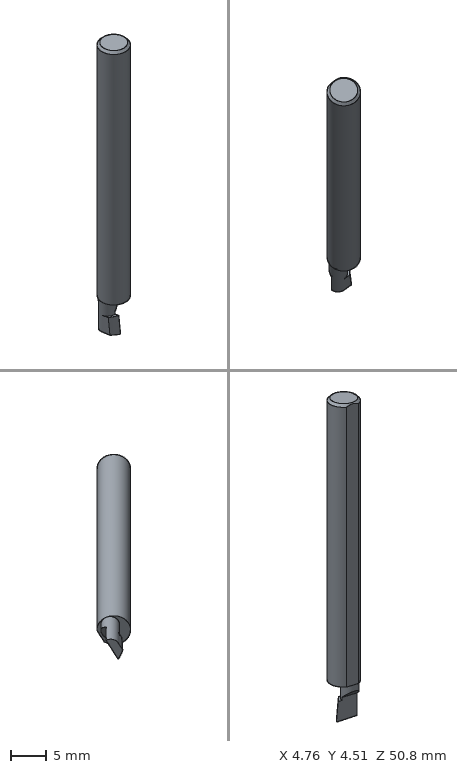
import cadquery as cq

OVERALL_LENGTH = 50.79
SHANK_DIAMETER = 4.7625
SHANK_LENGTH = 44.45
SHANK_RADIUS = SHANK_DIAMETER / 2
FLAT_DISTANCE = 2.13
END_CHAMFER = 0.4

NECK_DIAMETER = 2.66
NECK_RADIUS = NECK_DIAMETER / 2
NECK_CENTRE_X = NECK_RADIUS - SHANK_RADIUS
NECK_FULL_LENGTH = 1.5
RAKE_FACE_START = 2.7

RAKE_FACE_Y = -0.06
TIP_HEIGHT = 3.17
TIP_TOP_X = 0.92
TIP_BOTTOM_X = 1.23
HEEL_SETBACK = 0.96
LAND_SETBACK = 0.59
LAND_DEPTH = 0.84
CORNER_RADIUS = 0.2
END_RELIEF_RISE = 0.16
END_DISH_RISE = 0.08

SHANK_BOTTOM = OVERALL_LENGTH - SHANK_LENGTH


def make_shank():
    shank = (
        cq.Workplane("XY", origin=(0, 0, SHANK_BOTTOM))
        .circle(SHANK_RADIUS)
        .extrude(SHANK_LENGTH)
        .faces(">Z")
        .chamfer(END_CHAMFER)
    )
    flat_cutter = cq.Workplane("XY").box(
        SHANK_DIAMETER, SHANK_DIAMETER, OVERALL_LENGTH, centered=(True, False, False)
    )
    return shank.cut(flat_cutter.translate((0, FLAT_DISTANCE, 0)))


def make_neck():
    return (
        cq.Workplane("XY", origin=(NECK_CENTRE_X, 0, 0))
        .circle(NECK_RADIUS)
        .extrude(SHANK_BOTTOM)
    )


def tip_section(z, edge_x):
    """Tip outline at height z, with the cutting edge at edge_x on the rake face."""
    points = [
        (NECK_CENTRE_X, RAKE_FACE_Y, z),
        (edge_x, RAKE_FACE_Y, z),
        (edge_x - LAND_SETBACK, RAKE_FACE_Y - LAND_DEPTH, z),
        (edge_x - HEEL_SETBACK, -NECK_RADIUS, z),
        (NECK_CENTRE_X, -NECK_RADIUS, z),
    ]
    return cq.Wire.makePolygon([cq.Vector(*point) for point in points], close=True)


def make_tip():
    """Insert-like tip that narrows upward to give side clearance."""
    sections = [tip_section(0, TIP_BOTTOM_X), tip_section(TIP_HEIGHT, TIP_TOP_X)]
    return cq.Workplane(obj=cq.Solid.makeLoft(sections, True))


def make_rake_cutter():
    """Removes the +Y half of the neck, ending in a slope up to the full round."""
    slope_top = SHANK_BOTTOM - NECK_FULL_LENGTH
    slope_bottom = SHANK_BOTTOM - RAKE_FACE_START
    return (
        cq.Workplane("YZ")
        .moveTo(RAKE_FACE_Y, 0)
        .lineTo(RAKE_FACE_Y, slope_bottom)
        .lineTo(NECK_RADIUS, slope_top)
        .lineTo(SHANK_RADIUS, slope_top)
        .lineTo(SHANK_RADIUS, 0)
        .close()
        .extrude(SHANK_RADIUS, both=True)
    )


def make_end_relief_cutter():
    """Wedge under the end face, which rises from the cutting corner toward -X and -Y."""
    size = 2 * SHANK_DIAMETER
    corner_x = TIP_BOTTOM_X - CORNER_RADIUS
    normal = (
        END_DISH_RISE / (corner_x + SHANK_RADIUS),
        END_RELIEF_RISE / (NECK_RADIUS + RAKE_FACE_Y),
        1,
    )
    plane = cq.Plane(origin=(corner_x, RAKE_FACE_Y, 0), xDir=(1, 0, -normal[0]), normal=normal)
    return cq.Workplane(plane).rect(size, size).extrude(-SHANK_RADIUS)


def make_corner_cutter():
    """Leaves a rounded corner between the cutting edge and the end face."""
    corner_x = TIP_BOTTOM_X - CORNER_RADIUS
    return (
        cq.Workplane("XZ")
        .moveTo(corner_x, 0)
        .radiusArc((TIP_BOTTOM_X, CORNER_RADIUS), -CORNER_RADIUS)
        .lineTo(SHANK_RADIUS, CORNER_RADIUS)
        .lineTo(SHANK_RADIUS, -CORNER_RADIUS)
        .lineTo(corner_x, -CORNER_RADIUS)
        .close()
        .extrude(SHANK_RADIUS, both=True)
    )


cutting_end = (
    make_neck()
    .union(make_tip())
    .cut(make_rake_cutter())
    .cut(make_end_relief_cutter())
    .cut(make_corner_cutter())
)
result = make_shank().union(cutting_end)